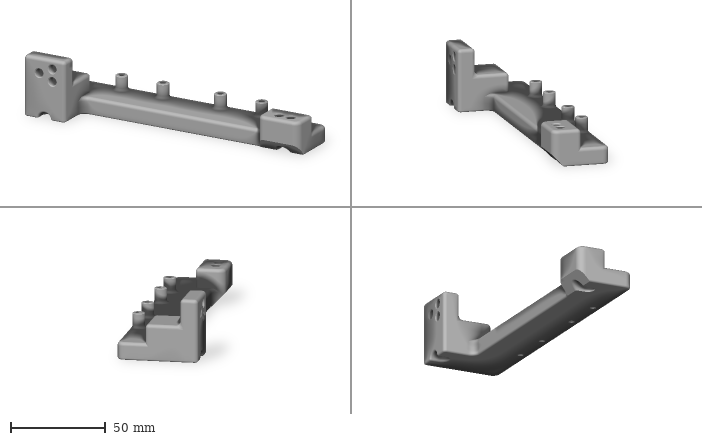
import cadquery as cq
import math

LENGTH = 160.0
DEPTH = 43.7
HEIGHT = 34.0

BAR_HEIGHT = 9.5
BAR_WIDTH = 25.3
CORNER_RADIUS = 4.0
EDGE_RADIUS = 2.0
BOTTOM_RADIUS = 1.0

END_WIDTH = 25.0
STEP_HEIGHT = 19.7
STEP_BACK_GAP = 15.5
TOWER_DEPTH = 9.5
FOOT_RADIUS = 2.4
BLOCK_BACK_GAP = 15.8
BLOCK_FRONT_GAP = 31.7

PEG_DIAMETER = 6.7
PEG_BORE = 3.4
PEG_TOP = 17.5
PEG_BACK_GAP = 4.6
PEG_OFFSETS = (17.5, 42.5)
PEG_FOOT_RADIUS = 1.6
PEG_TOP_CHAMFER = 0.3

POCKET_DIAMETER = 4.6
POCKET_DEPTH = 5.0
POCKET_CHAMFER = 0.5
POCKET_PITCH = 7.0
TOWER_PAIR_X = 17.3
TOWER_SINGLE_X = 9.3
TOWER_POCKETS_Z = 25.5
BLOCK_POCKETS_X = 148.3
BLOCK_POCKETS_BACK_GAP = 25.1

UNDERCUT_HEIGHT = 6.7
GROOVE_RADIUS = 3.8
GROOVE_MOUTH_RADIUS = 1.0
GROOVE_LENGTH = 5.0

SELECT_MARGIN = 0.2

bar_front = DEPTH - BAR_WIDTH
block_left = LENGTH - END_WIDTH
block_front = DEPTH - BLOCK_FRONT_GAP
block_back = DEPTH - BLOCK_BACK_GAP
step_back = DEPTH - STEP_BACK_GAP


def round_vertical_edge(body, x, y, radius):
    """Round the full-height vertical edge that stands at (x, y)."""
    corner = cq.selectors.BoxSelector(
        (x - SELECT_MARGIN, y - SELECT_MARGIN, 0),
        (x + SELECT_MARGIN, y + SELECT_MARGIN, HEIGHT),
    )
    return body.edges("|Z").edges(corner).fillet(radius)


def round_rims(body):
    """Round the rims of the top and bottom faces."""
    return body.faces(">Z").edges().fillet(EDGE_RADIUS).faces("<Z").edges().fillet(BOTTOM_RADIUS)


def make_bar():
    """Bar that also carries the tower footprint, with rounded top and bottom rims.

    A concave web curves out to the block corner; the outline beyond it lies inside the block.
    """
    centre_rise = 2 * CORNER_RADIUS - (bar_front - block_front)
    centre_run = math.sqrt((2 * CORNER_RADIUS) ** 2 - centre_rise**2)
    web_start_x = block_left + CORNER_RADIUS - centre_run
    web_centre_y = bar_front - CORNER_RADIUS
    web_end = (web_start_x + centre_run / 2, web_centre_y + centre_rise / 2)
    half_sweep = (math.pi / 2 - math.atan2(centre_rise, centre_run)) / 2
    web_middle = (
        web_start_x + CORNER_RADIUS * math.sin(half_sweep),
        web_centre_y + CORNER_RADIUS * math.cos(half_sweep),
    )
    bar = (
        cq.Workplane("XY")
        .moveTo(0, 0)
        .lineTo(END_WIDTH, 0)
        .lineTo(END_WIDTH, bar_front)
        .lineTo(web_start_x, bar_front)
        .threePointArc(web_middle, web_end)
        .lineTo(LENGTH, bar_front)
        .lineTo(LENGTH, DEPTH)
        .lineTo(0, DEPTH)
        .close()
        .extrude(BAR_HEIGHT)
    )
    for x in (0, END_WIDTH):
        bar = round_vertical_edge(bar, x, 0, EDGE_RADIUS)
    for x, y in ((END_WIDTH, bar_front), (LENGTH, DEPTH), (0, DEPTH)):
        bar = round_vertical_edge(bar, x, y, CORNER_RADIUS)
    return round_rims(bar)


def make_tower():
    """Stepped end, rounded along the outline of both side faces and along its steps."""
    tower = (
        cq.Workplane("YZ")
        .moveTo(0, BOTTOM_RADIUS)
        .lineTo(step_back, BOTTOM_RADIUS)
        .lineTo(step_back, STEP_HEIGHT)
        .lineTo(TOWER_DEPTH, STEP_HEIGHT)
        .lineTo(TOWER_DEPTH, HEIGHT)
        .lineTo(0, HEIGHT)
        .close()
        .extrude(END_WIDTH)
    )
    foot = cq.selectors.NearestToPointSelector((END_WIDTH / 2, TOWER_DEPTH, STEP_HEIGHT))
    outer = cq.selectors.BoxSelector(
        (-SELECT_MARGIN, -SELECT_MARGIN, BOTTOM_RADIUS + SELECT_MARGIN),
        (END_WIDTH + SELECT_MARGIN, DEPTH, HEIGHT + SELECT_MARGIN),
    )
    tower = tower.edges(cq.selectors.SubtractSelector(outer, foot)).fillet(EDGE_RADIUS)
    return tower.edges(foot).fillet(FOOT_RADIUS)


def make_block():
    """Right-hand block with rounded upright corners and rims."""
    block = cq.Workplane("XY", origin=(block_left, block_front, 0)).box(
        END_WIDTH, block_back - block_front, STEP_HEIGHT, centered=False
    )
    for x in (block_left, LENGTH):
        block = round_vertical_edge(block, x, block_front, CORNER_RADIUS)
        block = round_vertical_edge(block, x, block_back, EDGE_RADIUS)
    return round_rims(block)


def add_pegs(body):
    """Bored pegs that flare into the bar at the foot."""
    peg_y = DEPTH - PEG_BACK_GAP
    centres = [(LENGTH / 2 + side * offset, peg_y) for side in (-1, 1) for offset in PEG_OFFSETS]
    pegs = (
        cq.Workplane("XY", origin=(0, 0, BAR_HEIGHT / 2))
        .pushPoints(centres)
        .circle(PEG_DIAMETER / 2)
        .extrude(PEG_TOP - BAR_HEIGHT / 2)
        .faces(">Z")
        .edges()
        .chamfer(PEG_TOP_CHAMFER)
    )
    body = body.union(pegs)
    for x, y in centres:
        reach = PEG_DIAMETER / 2 + SELECT_MARGIN
        foot = cq.selectors.BoxSelector(
            (x - reach, y - reach, BAR_HEIGHT - EDGE_RADIUS),
            (x + reach, y + reach, BAR_HEIGHT + SELECT_MARGIN),
            boundingbox=True,
        )
        body = body.edges(foot).fillet(PEG_FOOT_RADIUS)
    bores = cq.Workplane("XY").pushPoints(centres).circle(PEG_BORE / 2).extrude(PEG_TOP)
    return body.cut(bores)


def cut_pocket(body, mouth, inward):
    """Blind round pocket with a chamfered mouth, sunk from the point mouth along inward."""
    mouth = cq.Vector(*mouth)
    inward = cq.Vector(*inward)
    radius = POCKET_DIAMETER / 2
    bore = cq.Solid.makeCylinder(radius, POCKET_DEPTH, mouth, inward)
    bevel = cq.Solid.makeCone(radius + POCKET_CHAMFER, radius, POCKET_CHAMFER, mouth, inward)
    return body.cut(cq.Workplane(bore)).cut(cq.Workplane(bevel))


def cut_undercut(body):
    """Slope under the block, from its front down to the bar front at the underside."""
    wedge = (
        cq.Workplane("YZ", origin=(LENGTH / 2, 0, 0))
        .moveTo(block_front, 0)
        .lineTo(bar_front, 0)
        .lineTo(block_front, UNDERCUT_HEIGHT)
        .close()
        .extrude(LENGTH / 2)
    )
    return body.cut(wedge)


def cut_groove(body, x, y_start, y_end, mouth_y):
    """Blind half-round groove in the underside, with a domed end and a rounded mouth.

    The crown of the mouth lies at mouth_y; the straight part runs from y_start to y_end.
    """
    start = cq.Vector(x, y_start, 0)
    groove = cq.Solid.makeCylinder(GROOVE_RADIUS, y_end - y_start, start, cq.Vector(0, 1, 0))
    dome = cq.Workplane("XY", origin=(x, y_end, 0)).sphere(GROOVE_RADIUS)
    body = body.cut(cq.Workplane(groove)).cut(dome)
    mouth = cq.selectors.NearestToPointSelector((x, mouth_y, GROOVE_RADIUS))
    return body.edges(mouth).fillet(GROOVE_MOUTH_RADIUS)


result = make_bar().union(make_tower()).union(make_block())
result = add_pegs(result)
result = cut_undercut(result)
result = cut_groove(result, END_WIDTH / 2, 0, GROOVE_LENGTH, 0)
result = cut_groove(
    result, LENGTH - END_WIDTH / 2, block_front, bar_front + GROOVE_LENGTH, bar_front - GROOVE_RADIUS
)

for x, z in (
    (TOWER_SINGLE_X, TOWER_POCKETS_Z),
    (TOWER_PAIR_X, TOWER_POCKETS_Z - POCKET_PITCH / 2),
    (TOWER_PAIR_X, TOWER_POCKETS_Z + POCKET_PITCH / 2),
):
    result = cut_pocket(result, (x, 0, z), (0, 1, 0))
for side in (-1, 1):
    x = BLOCK_POCKETS_X + side * POCKET_PITCH / 2
    result = cut_pocket(result, (x, DEPTH - BLOCK_POCKETS_BACK_GAP, STEP_HEIGHT), (0, 0, -1))